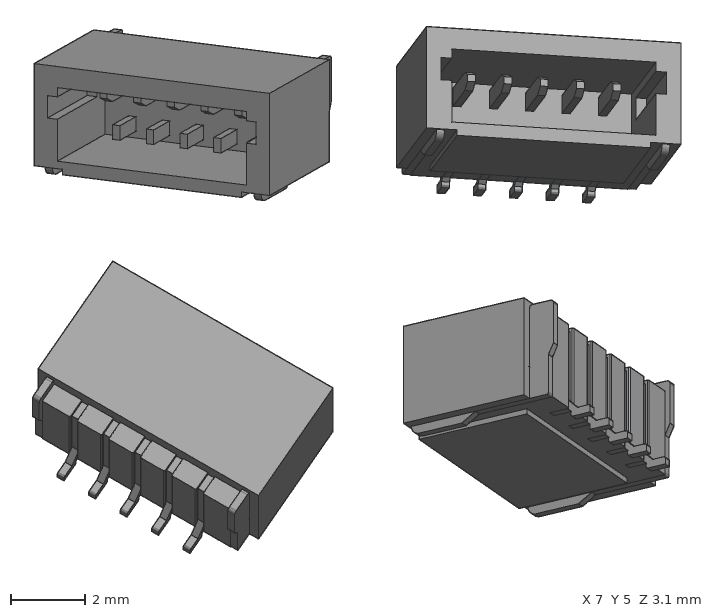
import cadquery as cq


SHELL_WIDTH = 7.0
SHELL_DEPTH = 3.75
SHELL_BOTTOM = 0.25
SHELL_TOP = 3.1

PAD_WIDTH = 5.32
PAD_DEPTH = 3.35
PAD_BOTTOM = 0.1

CAVITY_WIDTH = 5.615
CAVITY_DEPTH = 3.0
CAVITY_BOTTOM = 0.46
CAVITY_TOP = 2.51
KEYWAY_SPAN = 6.2
KEYWAY_DEPTH = 2.5
KEYWAY_BOTTOM = 1.63
KEYWAY_TOP = 2.255

CLIP_SPACING = 6.2
CLIP_THICKNESS = 0.22
CLIP_TOP = 2.995
CLIP_REAR = 4.5
CLIP_STEP_TOP = 1.73
CLIP_STEP_BOTTOM = 1.415
CLIP_ROUND = 0.1
CLIP_HEEL_ROUND = 0.055
CLIP_ARM_TOP = 1.19
CLIP_FRONT = 0.08
CLIP_FOOT_END = 1.65
CLIP_RAMP_END = 2.07
CLIP_TOE_ROUND = 0.25

BLOCK_WIDTH = CLIP_SPACING - CLIP_THICKNESS
BLOCK_REAR = 4.35
BLOCK_TOP = 2.7
SLOT_CHAMFER = 0.035

CONTACT_COUNT = 5
CONTACT_PITCH = 1.0
CONTACT_THICKNESS = 0.22
STEM_REAR = 4.25
STEM_TOP = 2.6
UPPER_BEAM_BOTTOM = 1.85
UPPER_BEAM_TOP = 2.35
UPPER_BEAM_TIP = 1.2
TIP_TOP_BEVEL = 0.15
TIP_TOP_BEVEL_LENGTH = 0.3
TIP_BOTTOM_BEVEL = 0.16
TIP_BOTTOM_BEVEL_LENGTH = 0.33
LOWER_BEAM_BOTTOM = 0.65
LOWER_BEAM_TOP = 1.06
LOWER_BEAM_TIP = 2.0
TAIL_END = 5.0
TAIL_THICKNESS = 0.225
TAIL_BEND = 4.6
TAIL_HEEL = 4.4
TAIL_HEEL_HEIGHT = 0.15
TAIL_ROUND = 0.05
TAIL_HEEL_ROUND = 0.05

CONTACT_POSITIONS = [(i - (CONTACT_COUNT - 1) / 2) * CONTACT_PITCH for i in range(CONTACT_COUNT)]
CLIP_POSITIONS = [-CLIP_SPACING / 2, CLIP_SPACING / 2]


def centred_box(width, front, rear, bottom, top):
    """Box centred on X, spanning front..rear in Y and bottom..top in Z."""
    return cq.Workplane("XY").box(
        width, rear - front, top - bottom, centered=(True, False, False)
    ).translate((0, front, bottom))


def flat_plate(outline, thickness):
    """Plate centred on X whose (Y, Z) outline is given."""
    return cq.Workplane("YZ").polyline(outline).close().extrude(thickness / 2, both=True)


def round_corner(plate, y, z, radius):
    """Round the plate's edge along X at the corner (y, z)."""
    reach = radius / 2
    near_corner = cq.selectors.BoxSelector(
        (-reach, y - reach, z - reach), (reach, y + reach, z + reach)
    )
    return plate.edges("|X").edges(near_corner).fillet(radius)


def make_contact():
    """Stem with two beams into the cavity and a solder tail bent out to the rear."""
    slope_foot = TAIL_HEEL + TAIL_HEEL_HEIGHT - SHELL_BOTTOM
    slope_head = TAIL_THICKNESS + TAIL_BEND - STEM_REAR
    outline = [
        (SHELL_DEPTH, STEM_TOP),
        (STEM_REAR, STEM_TOP),
        (STEM_REAR, slope_head),
        (TAIL_BEND, TAIL_THICKNESS),
        (TAIL_END, TAIL_THICKNESS),
        (TAIL_END, 0),
        (TAIL_HEEL, 0),
        (TAIL_HEEL, TAIL_HEEL_HEIGHT),
        (slope_foot, SHELL_BOTTOM),
        (SHELL_DEPTH, SHELL_BOTTOM),
        (SHELL_DEPTH, LOWER_BEAM_BOTTOM),
        (LOWER_BEAM_TIP, LOWER_BEAM_BOTTOM),
        (LOWER_BEAM_TIP, LOWER_BEAM_TOP),
        (SHELL_DEPTH, LOWER_BEAM_TOP),
        (SHELL_DEPTH, UPPER_BEAM_BOTTOM),
        (UPPER_BEAM_TIP + TIP_BOTTOM_BEVEL_LENGTH, UPPER_BEAM_BOTTOM),
        (UPPER_BEAM_TIP, UPPER_BEAM_BOTTOM + TIP_BOTTOM_BEVEL),
        (UPPER_BEAM_TIP, UPPER_BEAM_TOP - TIP_TOP_BEVEL),
        (UPPER_BEAM_TIP + TIP_TOP_BEVEL_LENGTH, UPPER_BEAM_TOP),
        (SHELL_DEPTH, UPPER_BEAM_TOP),
    ]
    contact = flat_plate(outline, CONTACT_THICKNESS)
    contact = round_corner(contact, TAIL_END, TAIL_THICKNESS, TAIL_ROUND)
    return round_corner(contact, TAIL_HEEL, 0, TAIL_HEEL_ROUND)


def make_clip():
    """Upright behind the shell with an arm forward to a foot under the shell."""
    outline = [
        (SHELL_DEPTH, CLIP_TOP),
        (CLIP_REAR, CLIP_TOP),
        (CLIP_REAR, CLIP_STEP_TOP),
        (BLOCK_REAR, CLIP_STEP_BOTTOM),
        (BLOCK_REAR, SHELL_BOTTOM),
        (CLIP_RAMP_END, SHELL_BOTTOM),
        (CLIP_FOOT_END, 0),
        (CLIP_FRONT, 0),
        (CLIP_FRONT, CLIP_ARM_TOP),
        (SHELL_DEPTH, CLIP_ARM_TOP),
    ]
    clip = flat_plate(outline, CLIP_THICKNESS)
    clip = round_corner(clip, SHELL_DEPTH, CLIP_TOP, CLIP_ROUND)
    clip = round_corner(clip, CLIP_REAR, CLIP_TOP, CLIP_ROUND)
    clip = round_corner(clip, BLOCK_REAR, SHELL_BOTTOM, CLIP_HEEL_ROUND)
    return round_corner(clip, CLIP_FRONT, 0, CLIP_TOE_ROUND)


def make_contact_slot():
    """Cutter for a slot through the rear block, chamfered where it opens to the rear."""
    half_slot = CONTACT_THICKNESS / 2
    half_mouth = half_slot + SLOT_CHAMFER
    chamfer_start = BLOCK_REAR - SLOT_CHAMFER
    outline = [
        (-half_slot, SHELL_DEPTH),
        (-half_slot, chamfer_start),
        (-half_mouth, BLOCK_REAR),
        (half_mouth, BLOCK_REAR),
        (half_slot, chamfer_start),
        (half_slot, SHELL_DEPTH),
    ]
    slot = cq.Workplane("XY").polyline(outline).close().extrude(BLOCK_TOP - SHELL_BOTTOM)
    return slot.translate((0, 0, SHELL_BOTTOM))


def make_housing(contacts, clips):
    """Shell, pad and rear block, hollowed for the mating plug and for the metal parts."""
    housing = centred_box(SHELL_WIDTH, 0, SHELL_DEPTH, SHELL_BOTTOM, SHELL_TOP)
    housing = housing.union(centred_box(PAD_WIDTH, 0, PAD_DEPTH, PAD_BOTTOM, SHELL_BOTTOM))
    housing = housing.union(centred_box(BLOCK_WIDTH, SHELL_DEPTH, BLOCK_REAR, SHELL_BOTTOM, BLOCK_TOP))
    housing = housing.cut(centred_box(CAVITY_WIDTH, 0, CAVITY_DEPTH, CAVITY_BOTTOM, CAVITY_TOP))
    housing = housing.cut(centred_box(KEYWAY_SPAN, 0, KEYWAY_DEPTH, KEYWAY_BOTTOM, KEYWAY_TOP))
    for x in CONTACT_POSITIONS:
        housing = housing.cut(make_contact_slot().translate((x, 0, 0)))
    for metal_part in contacts + clips:
        housing = housing.cut(metal_part)
    return housing


contacts = [make_contact().translate((x, 0, 0)) for x in CONTACT_POSITIONS]
clips = [make_clip().translate((x, 0, 0)) for x in CLIP_POSITIONS]
housing = make_housing(contacts, clips)

result = cq.Compound.makeCompound(
    [housing.solids().val(), *[contact.val() for contact in contacts], *[clip.val() for clip in clips]]
)